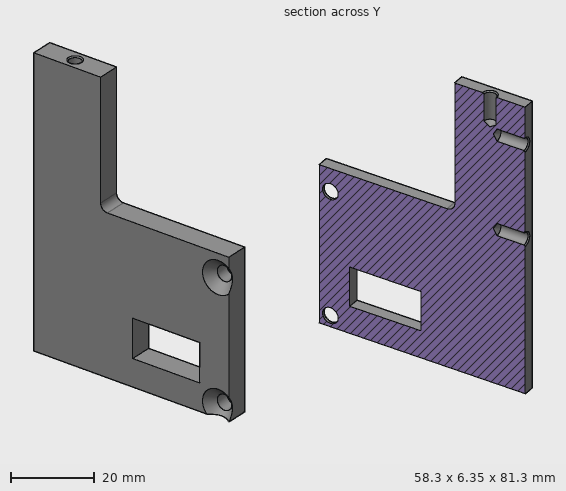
import cadquery as cq
import math

width = 58.3
thickness = 6.35
height = 81.35
arm_width = 20.0
base_height = 45.0
inner_corner_radius = 2.0

window_left = 29.6
window_bottom = 7.8
window_width = 20.0
window_height = 11.0

screw_diameter = 4.3
countersink_diameter = 9.35
countersink_angle = 90
screw_edge_distance = 3.2
screw_heights = (3.25, 38.4)

blind_diameter = 3.3
blind_mouth_diameter = 4.0
blind_depth = 8.0
drill_point_angle = 118
side_hole_heights = (43.85, 70.6)


def make_plate():
    """L-shaped plate with a rounded inner corner."""
    outline = [
        (0, 0),
        (width, 0),
        (width, base_height),
        (arm_width, base_height),
        (arm_width, height),
        (0, height),
    ]
    plate = cq.Workplane("XZ").polyline(outline).close().extrude(-thickness)
    inner_corner = cq.selectors.NearestToPointSelector((arm_width, thickness / 2, base_height))
    return plate.edges("|Y").edges(inner_corner).fillet(inner_corner_radius)


def make_window():
    """Rectangular opening through the full thickness."""
    return cq.Workplane("XY").box(window_width, thickness, window_height, centered=False).translate(
        (window_left, 0, window_bottom)
    )


def revolve_hole(profile, position, direction):
    """Turn a (radius, depth) profile into a cutter that starts at position and goes along direction."""
    cutter = cq.Workplane("XZ").polyline(profile).close().revolve(360, (0, 0), (0, 1))
    hole_plane = cq.Plane(origin=position, normal=direction)
    return cq.Workplane(cutter.val().moved(hole_plane.location))


def make_screw_hole(hole_height):
    """Through hole countersunk from the front face."""
    radius = screw_diameter / 2
    mouth_radius = countersink_diameter / 2
    cone_depth = (mouth_radius - radius) / math.tan(math.radians(countersink_angle / 2))
    profile = [(0, 0), (mouth_radius, 0), (radius, cone_depth), (radius, thickness), (0, thickness)]
    return revolve_hole(profile, (width - screw_edge_distance, 0, hole_height), (0, 1, 0))


def make_blind_hole(position, direction):
    """Blind hole with a 45 degree mouth chamfer and a conical bottom."""
    radius = blind_diameter / 2
    mouth_radius = blind_mouth_diameter / 2
    chamfer = mouth_radius - radius
    point_depth = radius / math.tan(math.radians(drill_point_angle / 2))
    profile = [
        (0, 0),
        (mouth_radius, 0),
        (radius, chamfer),
        (radius, blind_depth),
        (0, blind_depth + point_depth),
    ]
    return revolve_hole(profile, position, direction)


result = make_plate().cut(make_window())

for screw_height in screw_heights:
    result = result.cut(make_screw_hole(screw_height))

for side_height in side_hole_heights:
    result = result.cut(make_blind_hole((0, thickness / 2, side_height), (1, 0, 0)))

result = result.cut(make_blind_hole((arm_width / 2, thickness / 2, height), (0, 0, -1)))